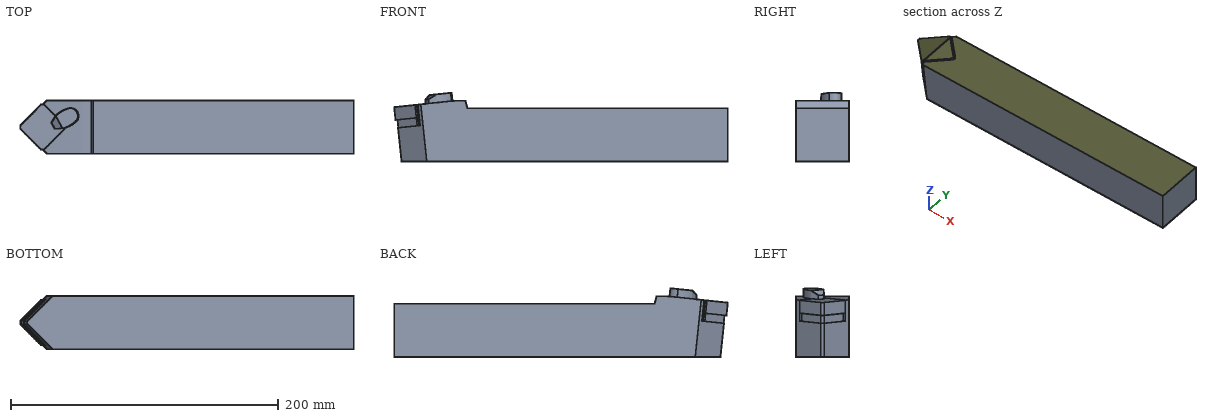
import cadquery as cq
import math

total_length = 250.0
shank_width = 40.0
shank_height = 40.0

slope_angle = 6.0
nose_height = 40.8
step_top_x = 53.5
step_foot_x = 55.0
slope_end_x = 46.5
head_height = nose_height + slope_end_x * math.tan(math.radians(slope_angle))

insert_side = 25.5
insert_thickness = 9.8
corner_flat = 2.2
shim_thickness = 6.0
holder_setback = 1.2
shim_setback = 1.5
insert_reach = (insert_side * math.sqrt(2) - corner_flat) / 2
pocket_depth = insert_thickness + shim_thickness

clamp_angle = 29.0
clamp_tip_x = 25.0
clamp_tip_y = 1.0
clamp_height = 6.2
clamp_tip_height = 3.0
clamp_tip_half_width = 2.5
clamp_shoulder = 5.8
clamp_shoulder_half_width = 5.5
clamp_widest = 12.2
clamp_half_width = 6.2
clamp_end_start = 18.0
clamp_end_half_width = 5.2
clamp_length = 21.0

slope_plane = cq.Plane(origin=(0, 0, nose_height)).rotated((0, -slope_angle, 0))


def tilted_square(reach, depth, thickness):
    """Corner-forward square with flattened corners, its top at a depth below the slope."""
    half_flat = corner_flat / 2
    outline = [
        (-reach, -half_flat), (-half_flat, -reach), (half_flat, -reach), (reach, -half_flat),
        (reach, half_flat), (half_flat, reach), (-half_flat, reach), (-reach, half_flat),
    ]
    square = cq.Workplane(slope_plane).workplane(offset=-depth).center(insert_reach, 0)
    return square.polyline(outline).close().extrude(-thickness)


def make_shank():
    """Bar with the raised head, cut to a tilted V at the front."""
    half_width = shank_width / 2
    profile = [
        (0, 0), (total_length, 0), (total_length, shank_height), (step_foot_x, shank_height),
        (step_top_x, head_height), (slope_end_x, head_height), (0, nose_height),
    ]
    bar = cq.Workplane("XZ").polyline(profile).close().extrude(half_width, both=True)
    half_flat = corner_flat / 2
    shoulder_x = holder_setback + half_width - half_flat
    v_outline = [
        (holder_setback, -half_flat), (shoulder_x, -half_width),
        (2 * total_length, -half_width), (2 * total_length, half_width),
        (shoulder_x, half_width), (holder_setback, half_flat),
    ]
    v_prism = (
        cq.Workplane(slope_plane).polyline(v_outline).close()
        .extrude(2 * total_length, both=True)
    )
    return bar.intersect(v_prism)


def make_clamp():
    """Rounded finger on the slope, its top ramped down toward the tip."""
    plane = slope_plane.rotated((0, 0, clamp_angle))
    plane.origin = slope_plane.toWorldCoords((clamp_tip_x, clamp_tip_y, 0))
    finger = (
        cq.Workplane(plane)
        .moveTo(0, -clamp_tip_half_width)
        .lineTo(clamp_shoulder, -clamp_shoulder_half_width)
        .threePointArc((clamp_widest, -clamp_half_width), (clamp_end_start, -clamp_end_half_width))
        .threePointArc((clamp_length, 0), (clamp_end_start, clamp_end_half_width))
        .threePointArc((clamp_widest, clamp_half_width), (clamp_shoulder, clamp_shoulder_half_width))
        .lineTo(0, clamp_tip_half_width)
        .close()
        .extrude(clamp_height)
    )
    side_plane = cq.Plane(origin=plane.origin, xDir=plane.xDir, normal=-plane.yDir)
    ramp = (
        cq.Workplane(side_plane)
        .moveTo(0, clamp_tip_height)
        .lineTo(clamp_shoulder, clamp_height)
        .lineTo(0, clamp_height)
        .close()
        .extrude(clamp_half_width, both=True)
    )
    return finger.cut(ramp)


def make_holder():
    """Shank with the insert pocket, the smaller shim in its floor and the clamp on top."""
    pocket = tilted_square(insert_reach, 0, pocket_depth)
    shim = tilted_square(insert_reach - shim_setback, insert_thickness, shim_thickness)
    return make_shank().cut(pocket).union(shim).union(make_clamp())


def make_insert():
    """Cutting insert, seated on the shim with its top flush with the slope."""
    return tilted_square(insert_reach, 0, insert_thickness)


holder = make_holder()
insert = make_insert()

result = cq.Compound.makeCompound([holder.solids().val(), insert.val()])